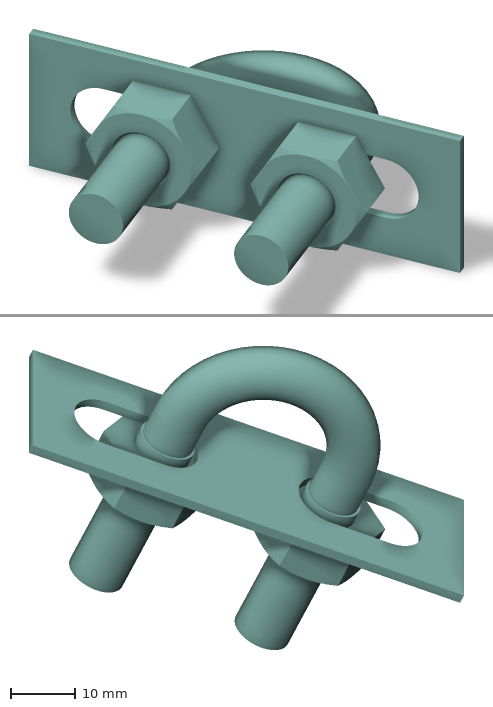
import cadquery as cq
import math

PLATE_LENGTH = 73.0
PLATE_HEIGHT = 25.0
PLATE_THICKNESS = 1.5
SLOT_WIDTH = 11.0
SLOT_OUTER_END = 29.5

OVERALL_DEPTH = 51.2
LEG_SPACING = 28.0
SHANK_DIAMETER = 9.2
ROD_DIAMETER = 8.4
SHANK_LENGTH = 28.0
BEND_RADIUS = LEG_SPACING / 2
BEND_CENTRE_Y = OVERALL_DEPTH - BEND_RADIUS - ROD_DIAMETER / 2

NUT_ACROSS_FLATS = 17.0
NUT_THICKNESS = 8.0
NUT_BORE = SHANK_DIAMETER
BORE_MOUTH = 10.0
NUT_CHAMFER_ANGLE = 30.0
NUT_ACROSS_CORNERS = NUT_ACROSS_FLATS / math.cos(math.radians(30))
NUT_FACE_Y = 17.6
PLATE_FACE_Y = NUT_FACE_Y + NUT_THICKNESS

LEG_POSITIONS = (-LEG_SPACING / 2, LEG_SPACING / 2)


def xz_plane(x, y):
    """Plane facing +Y at the given X and Y, with its local x along -X."""
    return cq.Workplane(cq.Plane(origin=(x, y, 0), xDir=(-1, 0, 0), normal=(0, 1, 0)))


def make_plate():
    """Flat plate with one slot per leg; each inner slot end is concentric with its leg."""
    plate = xz_plane(0, PLATE_FACE_Y).rect(PLATE_LENGTH, PLATE_HEIGHT).extrude(PLATE_THICKNESS)
    slot_inner_end = (LEG_SPACING - SLOT_WIDTH) / 2
    slot_length = SLOT_OUTER_END - slot_inner_end
    slot_centre = (SLOT_OUTER_END + slot_inner_end) / 2
    for x in (-slot_centre, slot_centre):
        slot = xz_plane(x, PLATE_FACE_Y).slot2D(slot_length, SLOT_WIDTH).extrude(PLATE_THICKNESS)
        plate = plate.cut(slot)
    return plate


def make_u_bolt():
    """Round rod bent to a U, with a thicker shank on each leg."""
    half_spacing = LEG_SPACING / 2
    path = (
        cq.Workplane("XY")
        .moveTo(-half_spacing, SHANK_LENGTH)
        .lineTo(-half_spacing, BEND_CENTRE_Y)
        .threePointArc((0, BEND_CENTRE_Y + BEND_RADIUS), (half_spacing, BEND_CENTRE_Y))
        .lineTo(half_spacing, SHANK_LENGTH)
    )
    bolt = xz_plane(-half_spacing, SHANK_LENGTH).circle(ROD_DIAMETER / 2).sweep(path)
    for x in LEG_POSITIONS:
        bolt = bolt.union(xz_plane(x, 0).circle(SHANK_DIAMETER / 2).extrude(SHANK_LENGTH))
    return bolt


def make_nut(x):
    """Bored hexagon nut with corners along X, chamfered conically at its -Y face."""
    blank = xz_plane(x, NUT_FACE_Y).polygon(6, NUT_ACROSS_CORNERS).extrude(NUT_THICKNESS)
    face_radius = NUT_ACROSS_FLATS / 2
    corner_radius = NUT_ACROSS_CORNERS / 2
    slope = math.tan(math.radians(NUT_CHAMFER_ANGLE))
    chamfer_depth = (corner_radius - face_radius) * slope
    envelope = (
        cq.Workplane("XY", origin=(x, NUT_FACE_Y, 0))
        .polyline([
            (0, 0),
            (face_radius, 0),
            (corner_radius, chamfer_depth),
            (corner_radius, NUT_THICKNESS),
            (0, NUT_THICKNESS),
        ])
        .close()
        .revolve(360, (0, 0, 0), (0, 1, 0))
    )
    bore = xz_plane(x, NUT_FACE_Y).circle(NUT_BORE / 2).extrude(NUT_THICKNESS)
    mouth_depth = (BORE_MOUTH - NUT_BORE) / 2
    mouth = xz_plane(x, NUT_FACE_Y).circle(BORE_MOUTH / 2).extrude(mouth_depth, taper=45)
    return blank.intersect(envelope).cut(bore).cut(mouth)


plate = make_plate()
u_bolt = make_u_bolt()
nuts = [make_nut(x) for x in LEG_POSITIONS]

result = cq.Compound.makeCompound([plate.val(), u_bolt.val(), *[nut.val() for nut in nuts]])